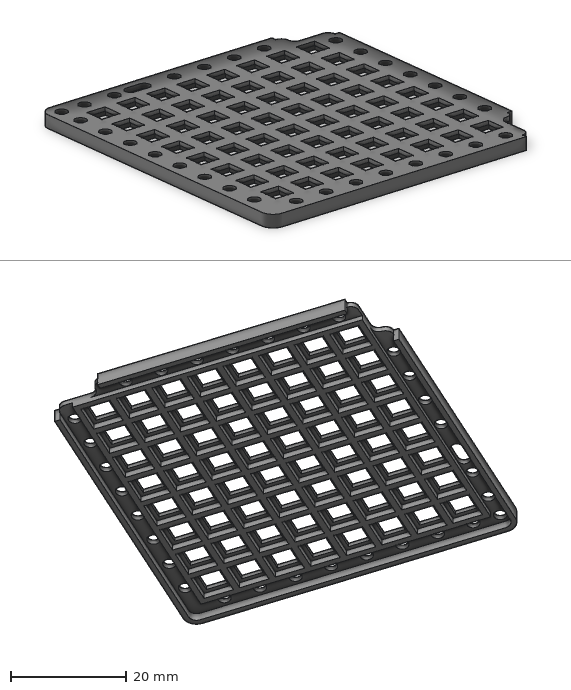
import cadquery as cq

side = 63.0
height = 2.6
half = side / 2
outer_corner_radius = 2.5

strip_thickness = 1.0
panel_thickness = 2.0
rim_width = 1.0
panel_inset = 4.05
rim_inside = half - rim_width
panel_edge = half - panel_inset
curve_radius = (rim_inside - panel_edge) / 2

window_count = 8
window_pitch = 6.75
window_size = 4.05
window_strip = 0.8
window_step = 0.75

hole_diameter = 2.3
hole_inset = 2.8
slot_length = 5.35
slot_center_y = -11.65
slot_row = 2
hole_line = half - hole_inset

notch_long_end = 20.9

grid = [(i - (window_count - 1) / 2) * window_pitch for i in range(window_count)]


def turn_clockwise(point):
    """Turn a point by a quarter turn clockwise about the plate centre."""
    x, y = point
    return (y, -x)


def add_notch(outline, turn):
    """Trace the notch of the -X +Y corner, each point placed by turn."""
    r = curve_radius
    shelf_y = notch_long_end + r
    outline = outline.lineTo(*turn((-half, notch_long_end)))
    outline = outline.lineTo(*turn((-rim_inside, notch_long_end)))
    outline = outline.radiusArc(turn((-rim_inside + r, shelf_y)), r)
    outline = outline.radiusArc(turn((-panel_edge, shelf_y + r)), -r)
    outline = outline.lineTo(*turn((-panel_edge, rim_inside - r)))
    outline = outline.radiusArc(turn((-panel_edge + r, rim_inside)), r)
    return outline.lineTo(*turn((-panel_edge + r, half)))


def make_body():
    """Notched plate at full height with two rounded corners on the -Y side."""
    outline = cq.Workplane("XY").moveTo(-half, -half)
    outline = add_notch(outline, lambda point: point)
    outline = add_notch(outline, turn_clockwise)
    outline = outline.lineTo(half, -half).close()
    return outline.extrude(height).edges("|Z and <Y").fillet(outer_corner_radius)


def make_recess():
    """Space under the plate inside the rim, stepped around the grid panel."""
    recess = (
        cq.Workplane("XY")
        .rect(2 * rim_inside, 2 * rim_inside)
        .extrude(height - strip_thickness)
        .edges("|Z")
        .fillet(curve_radius)
    )
    panel = (
        cq.Workplane("XY")
        .workplane(offset=height - panel_thickness)
        .rect(2 * panel_edge, 2 * panel_edge)
        .extrude(panel_thickness)
    )
    return recess.cut(panel)


def square_grid(size, depth):
    """Square prisms at the grid positions, rising from Z = 0."""
    return (
        cq.Workplane("XY")
        .rarray(window_pitch, window_pitch, window_count, window_count)
        .rect(size, size)
        .extrude(depth)
    )


def make_windows():
    """Square through windows, each stepped wider below its top part."""
    upper = square_grid(window_size, height)
    lower = square_grid(window_size + 2 * window_step, height - window_strip)
    return upper.union(lower)


def make_border_holes():
    """Round through holes along the four sides, in line with the windows."""
    top_row = [(x, hole_line) for x in grid[:-1]]
    bottom_row = [(x, -hole_line) for x in [-hole_line] + grid]
    right_column = [(hole_line, y) for y in grid]
    left_column = [(-hole_line, y) for y in grid[:slot_row] + grid[slot_row + 1:-1]]
    points = top_row + bottom_row + right_column + left_column
    return cq.Workplane("XY").pushPoints(points).circle(hole_diameter / 2).extrude(height)


def make_slot():
    """Through slot that takes the place of one hole on the -X side."""
    return (
        cq.Workplane("XY")
        .center(-hole_line, slot_center_y)
        .slot2D(slot_length, hole_diameter, 90)
        .extrude(height)
    )


result = (
    make_body()
    .cut(make_recess())
    .cut(make_windows())
    .cut(make_border_holes())
    .cut(make_slot())
)